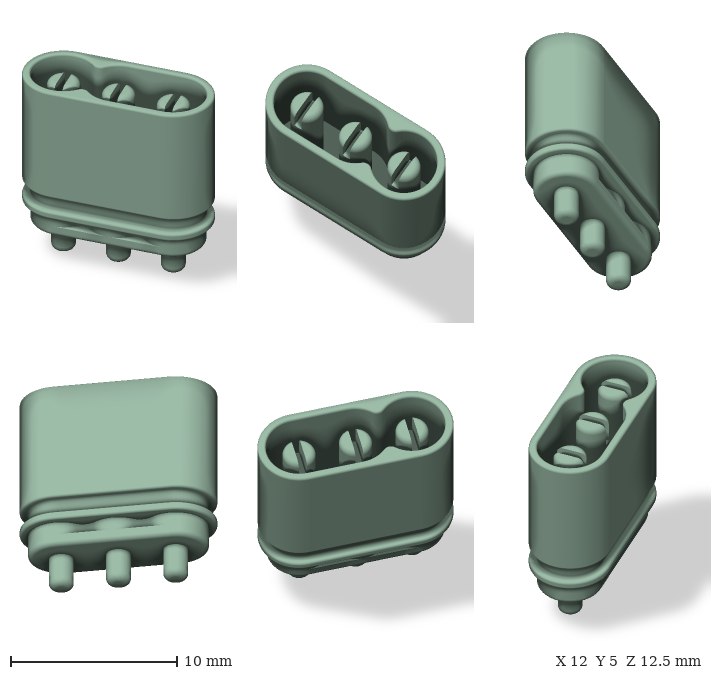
import cadquery as cq
import math

PIN_COUNT = 3
PIN_PITCH = 3.5
ROW_SPAN = (PIN_COUNT - 1) * PIN_PITCH
PIN_XS = [i * PIN_PITCH - ROW_SPAN / 2 for i in range(PIN_COUNT)]

BASE_BOTTOM_Z = 2.0
LOBES_BOTTOM_Z = 2.7
FLANGE_BOTTOM_Z = 3.5
FLANGE_TOP_Z = 4.0
SHELL_BOTTOM_Z = 5.0
SHELL_TOP_Z = 12.5

SHELL_RADIUS = 2.5
WALL = 0.5
CORE_RADIUS = SHELL_RADIUS - WALL
LOBE_BLEND_RADIUS = 1.0
CAVITY_BLEND_RADIUS = 0.5
EDGE_FILLET = 0.15
BASE_FILLET = 0.3

FLOOR_Z = SHELL_BOTTOM_Z + WALL

SHANK_RADIUS = 0.75
HEAD_RADIUS = 1.0
PIN_BOTTOM_Z = 0.0
PIN_RECESS = 0.5
PIN_TOP_Z = SHELL_TOP_Z - PIN_RECESS
PIN_END_FILLET = 0.4
SLOT_WIDTH = 0.5
SLOT_DEPTH = 1.5


def stadium(x_start, x_end, radius, z_bottom, z_top):
    """Prism with straight sides and round ends centred on x_start and x_end."""
    centre_distance = x_end - x_start
    return (
        cq.Workplane("XY", origin=((x_start + x_end) / 2, 0, z_bottom))
        .slot2D(centre_distance + 2 * radius, 2 * radius)
        .extrude(z_top - z_bottom)
    )


def full_stadium(radius, z_bottom, z_top):
    """Stadium prism whose ends are centred on the outermost pins."""
    return stadium(PIN_XS[0], PIN_XS[-1], radius, z_bottom, z_top)


def cylinder(x, radius, z_bottom, z_top):
    return cq.Workplane("XY", origin=(x, 0, z_bottom)).circle(radius).extrude(z_top - z_bottom)


def waist_bridge(x_left, blend_radius, z_bottom, z_top):
    """Joins two neighbouring core circles, with a blend arc tangent to both on each side."""
    half_pitch = PIN_PITCH / 2
    x_middle = x_left + half_pitch
    blend_centre_y = math.sqrt((CORE_RADIUS + blend_radius) ** 2 - half_pitch**2)
    waist_y = blend_centre_y - blend_radius
    tangent_ratio = CORE_RADIUS / (CORE_RADIUS + blend_radius)
    tangent_x = half_pitch * (1 - tangent_ratio)
    tangent_y = blend_centre_y * tangent_ratio
    return (
        cq.Workplane("XY", origin=(x_middle, 0, z_bottom))
        .moveTo(-half_pitch, 0)
        .lineTo(-tangent_x, tangent_y)
        .threePointArc((0, waist_y), (tangent_x, tangent_y))
        .lineTo(half_pitch, 0)
        .lineTo(tangent_x, -tangent_y)
        .threePointArc((0, -waist_y), (-tangent_x, -tangent_y))
        .close()
        .extrude(z_top - z_bottom)
    )


def make_lobes():
    """Three round lobes, one around each pin, blended into each other."""
    levels = (LOBES_BOTTOM_Z, FLANGE_BOTTOM_Z)
    lobes = cylinder(PIN_XS[0], CORE_RADIUS, *levels)
    for x_left, x_right in zip(PIN_XS, PIN_XS[1:]):
        lobes = lobes.union(cylinder(x_right, CORE_RADIUS, *levels))
        lobes = lobes.union(waist_bridge(x_left, LOBE_BLEND_RADIUS, *levels))
    return lobes


def make_cavity():
    """Open pocket: a round bay for the first pin joined to a stadium bay for the others."""
    levels = (FLOOR_Z, SHELL_TOP_Z)
    round_bay = cylinder(PIN_XS[0], CORE_RADIUS, *levels)
    long_bay = stadium(PIN_XS[1], PIN_XS[-1], CORE_RADIUS, *levels)
    bridge = waist_bridge(PIN_XS[0], CAVITY_BLEND_RADIUS, *levels)
    return round_bay.union(long_bay).union(bridge)


def make_upper_housing():
    """Hollow shell, neck and flange."""
    shell = full_stadium(SHELL_RADIUS, SHELL_BOTTOM_Z, SHELL_TOP_Z)
    shell = shell.faces("<Z").edges().fillet(EDGE_FILLET)
    shell = shell.cut(make_cavity())
    shell = shell.faces(">Z").edges().fillet(EDGE_FILLET)

    flange = full_stadium(SHELL_RADIUS, FLANGE_BOTTOM_Z, FLANGE_TOP_Z)
    flange = flange.faces("<Z or >Z").edges().fillet(EDGE_FILLET)

    neck = full_stadium(CORE_RADIUS, FLANGE_TOP_Z, SHELL_BOTTOM_Z)
    upper = shell.union(neck).union(flange)
    margin = EDGE_FILLET / 2
    half_length = ROW_SPAN / 2 + CORE_RADIUS + margin
    half_width = CORE_RADIUS + margin
    neck_edges = cq.selectors.BoxSelector(
        (-half_length, -half_width, FLANGE_TOP_Z - margin),
        (half_length, half_width, SHELL_BOTTOM_Z + margin),
        boundingbox=True,
    )
    return upper.edges(neck_edges).edges("not |Z").fillet(EDGE_FILLET)


def make_housing():
    base = full_stadium(CORE_RADIUS, BASE_BOTTOM_Z, LOBES_BOTTOM_Z)
    base = base.faces("<Z").edges().fillet(BASE_FILLET)
    housing = make_upper_housing().union(make_lobes()).union(base)
    for x in PIN_XS:
        housing = housing.cut(cylinder(x, SHANK_RADIUS, BASE_BOTTOM_Z, FLOOR_Z))
    return housing


def make_pin(x):
    """Contact pin: a shank through the housing and a wider slotted head standing on the floor."""
    shank = cylinder(x, SHANK_RADIUS, PIN_BOTTOM_Z, FLOOR_Z)
    shank = shank.faces("<Z").edges().fillet(PIN_END_FILLET)
    head = cylinder(x, HEAD_RADIUS, FLOOR_Z, PIN_TOP_Z)
    head = head.faces(">Z").edges().fillet(PIN_END_FILLET)
    slot = (
        cq.Workplane("XY", origin=(x, 0, PIN_TOP_Z - SLOT_DEPTH))
        .rect(SLOT_WIDTH, 2 * HEAD_RADIUS)
        .extrude(SLOT_DEPTH)
    )
    return shank.union(head).cut(slot)


housing = make_housing()
pins = [make_pin(x) for x in PIN_XS]

result = cq.Compound.makeCompound([housing.val(), *[pin.val() for pin in pins]])